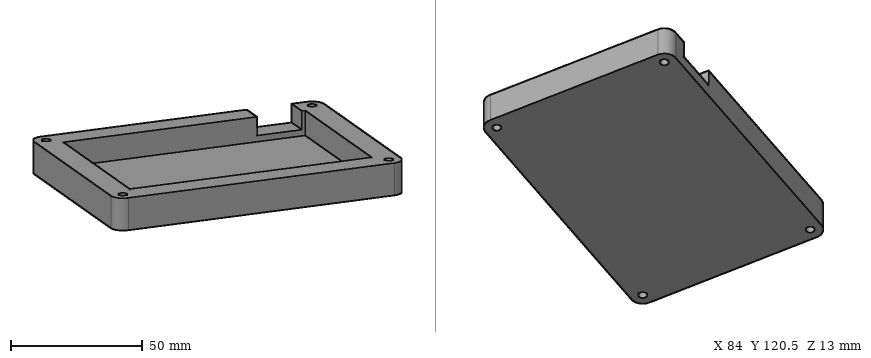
import cadquery as cq

length_x = 84.0
length_y = 120.5
height = 13.0
corner_radius = 5.0

wall = 10.0
floor_thickness = 3.0

hole_diameter = 3.4
hole_inset = corner_radius

notch_width = 18.6
notch_depth = 7.5
notch_end_offset = 11.4


def make_block():
    block = cq.Workplane("XY").box(length_x, length_y, height, centered=(True, True, False))
    return block.edges("|Z").fillet(corner_radius)


def make_pocket():
    pocket_x = length_x - 2 * wall
    pocket_y = length_y - 2 * wall
    pocket_depth = height - floor_thickness
    return (
        cq.Workplane("XY")
        .workplane(offset=floor_thickness)
        .rect(pocket_x, pocket_y)
        .extrude(pocket_depth)
    )


def make_screw_holes():
    spacing_x = length_x - 2 * hole_inset
    spacing_y = length_y - 2 * hole_inset
    return (
        cq.Workplane("XY")
        .rect(spacing_x, spacing_y, forConstruction=True)
        .vertices()
        .circle(hole_diameter / 2)
        .extrude(height)
    )


def make_cable_notch():
    notch_start_y = length_y / 2 - notch_end_offset - notch_width
    notch = cq.Workplane("XY").box(wall, notch_width, notch_depth, centered=False)
    return notch.translate((-length_x / 2, notch_start_y, height - notch_depth))


result = (
    make_block()
    .cut(make_pocket())
    .cut(make_screw_holes())
    .cut(make_cable_notch())
)